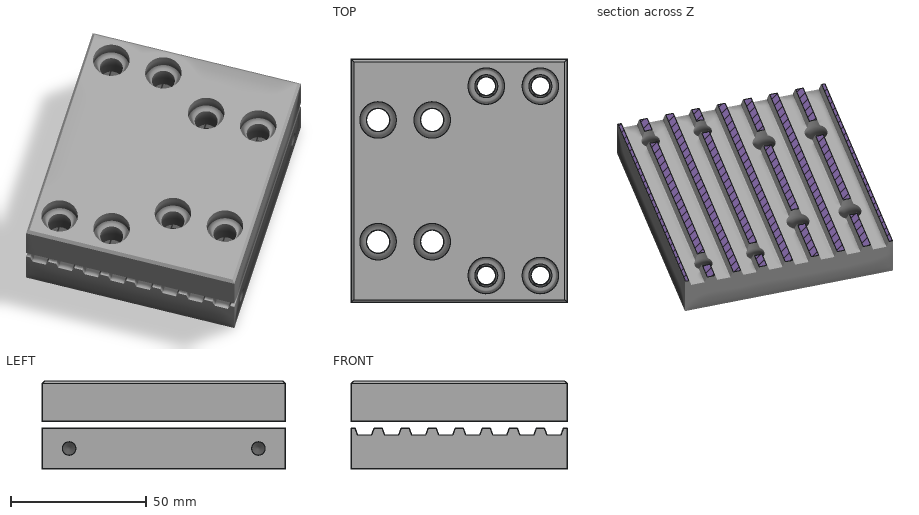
import cadquery as cq
import math

length = 80.0
width = 90.0
plate_thickness = 15.0
plate_gap = 2.5
cover_base = plate_thickness + plate_gap
cover_top = cover_base + plate_thickness
cover_chamfer = 1.0

tooth_pitch = 10.0
tooth_count = int(length / tooth_pitch)
groove_depth = 2.5
groove_mouth = 6.96
flank_angle = 20.0
groove_floor = groove_mouth - 2 * groove_depth * math.tan(math.radians(flank_angle))
ridge_fillet = 0.3

bolt_spacing = 20.0
mounting_hole_offset = 22.5
clamping_hole_offset = 35.0
mounting_holes = [
    (x, y)
    for x in (-1.5 * bolt_spacing, -0.5 * bolt_spacing)
    for y in (-mounting_hole_offset, mounting_hole_offset)
]
clamping_holes = [
    (x, y)
    for x in (0.5 * bolt_spacing, 1.5 * bolt_spacing)
    for y in (-clamping_hole_offset, clamping_hole_offset)
]
clearance_diameter = 8.5
tapping_diameter = 6.8
counterbore_diameter = 13.5
counterbore_depth = 5.5

end_hole_diameter = 5.0
end_hole_depth = 15.0
end_hole_offset = 35.0
end_hole_height = plate_thickness / 2
drill_point_angle = 118.0


def plate(bottom):
    return cq.Workplane("XY", origin=(0, 0, bottom)).box(
        length, width, plate_thickness, centered=(True, True, False)
    )


def vertical_holes(points, diameter, bottom, depth):
    return cq.Workplane("XY", origin=(0, 0, bottom)).pushPoints(points).circle(diameter / 2).extrude(depth)


def tooth_groove(x):
    """Trapezoidal groove over the full width of the plate, centred on x."""
    floor_height = plate_thickness - groove_depth
    return (
        cq.Workplane("XZ", origin=(x, width / 2, 0))
        .moveTo(-groove_mouth / 2, plate_thickness)
        .lineTo(-groove_floor / 2, floor_height)
        .lineTo(groove_floor / 2, floor_height)
        .lineTo(groove_mouth / 2, plate_thickness)
        .close()
        .extrude(width)
    )


def end_hole(y):
    """Drilled hole with a conical bottom, entering from the -X face along +X."""
    radius = end_hole_diameter / 2
    point_length = radius / math.tan(math.radians(drill_point_angle / 2))
    return (
        cq.Workplane("XY", origin=(-length / 2, y, end_hole_height))
        .lineTo(0, radius)
        .lineTo(end_hole_depth, radius)
        .lineTo(end_hole_depth + point_length, 0)
        .close()
        .revolve(360, (0, 0, 0), (1, 0, 0))
    )


def make_base_plate():
    base = plate(0)
    for index in range(tooth_count):
        base = base.cut(tooth_groove((index - (tooth_count - 1) / 2) * tooth_pitch))
    base = base.faces(">Z").edges("|Y").fillet(ridge_fillet)
    base = base.cut(vertical_holes(mounting_holes, clearance_diameter, 0, plate_thickness))
    base = base.cut(vertical_holes(clamping_holes, tapping_diameter, 0, plate_thickness))
    for y in (-end_hole_offset, end_hole_offset):
        base = base.cut(end_hole(y))
    return base


def make_cover_plate():
    bolts = mounting_holes + clamping_holes
    cover = plate(cover_base).faces(">Z").edges().chamfer(cover_chamfer)
    cover = cover.cut(vertical_holes(bolts, clearance_diameter, cover_base, plate_thickness))
    counterbore_floor = cover_top - counterbore_depth
    return cover.cut(vertical_holes(bolts, counterbore_diameter, counterbore_floor, counterbore_depth))


base_plate = make_base_plate()
cover_plate = make_cover_plate()

result = cq.Compound.makeCompound([base_plate.val(), cover_plate.val()])